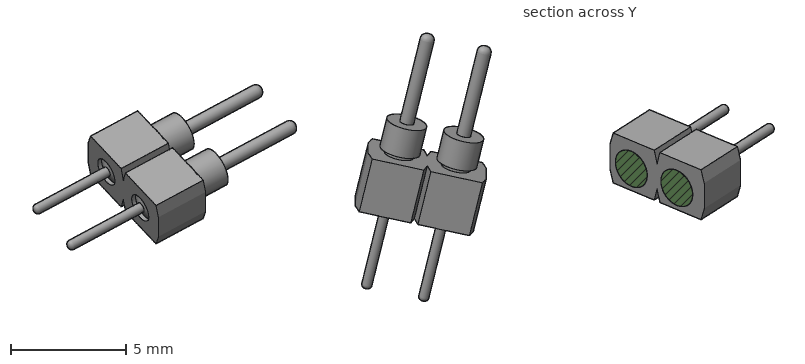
import cadquery as cq

pitch = 2.55
housing_width = 5.28
housing_height = 2.55
housing_length = 2.52
end_bevel_width = 0.18
end_bevel_height = 0.63
notch_half_width = 0.16
notch_depth = 0.63

front_pin_radius = 0.23
front_pin_length = 3.85
front_tip_rounding = 0.18
rear_pin_radius = 0.32
rear_pin_length = 4.2
rear_tip_rounding = 0.27
collar_radius = 0.9
collar_length = 1.33
neck_radius = 0.65
neck_length = 0.2

recess_radius = 0.64
recess_depth = 0.2
cone_height = 0.16

neck_end = housing_length + neck_length
collar_end = neck_end + collar_length
rear_tip = collar_end + rear_pin_length


def make_housing():
    """Extrude the bevelled outline, notched between the two cells."""
    half_width = housing_width / 2
    half_height = housing_height / 2
    upper_right = [
        (0, half_height - notch_depth),
        (notch_half_width, half_height),
        (half_width - end_bevel_width, half_height),
        (half_width, half_height - end_bevel_height),
    ]
    lower_right = [(x, -z) for x, z in reversed(upper_right)]
    right_side = upper_right + lower_right
    left_side = [(-x, z) for x, z in reversed(right_side[1:-1])]
    outline = cq.Workplane("XZ").polyline(right_side + left_side).close()
    return outline.extrude(-housing_length)


def cylinder(radius, start, end):
    """Make a cylinder along Y between two positions."""
    return cq.Workplane("XZ", origin=(0, start, 0)).circle(radius).extrude(start - end)


def make_recess():
    """Make the ring-shaped void between the recess wall and the cone."""
    cone_top = recess_depth - cone_height
    section = [
        (0, 0),
        (recess_radius, 0),
        (recess_radius, recess_depth),
        (front_pin_radius, cone_top),
        (0, cone_top),
    ]
    return cq.Workplane("XY").polyline(section).close().revolve(360, (0, 0), (0, 1))


def make_pin():
    """Join the front pin, neck, collar and rear pin of one contact."""
    front_pin = cylinder(front_pin_radius, -front_pin_length, housing_length)
    front_pin = front_pin.faces("<Y").edges().fillet(front_tip_rounding)
    rear_pin = cylinder(rear_pin_radius, neck_end, rear_tip)
    rear_pin = rear_pin.faces(">Y").edges().fillet(rear_tip_rounding)
    neck = cylinder(neck_radius, housing_length / 2, neck_end)
    collar = cylinder(collar_radius, neck_end, collar_end)
    return front_pin.union(neck).union(collar).union(rear_pin)


result = make_housing()
for pin_x in (-pitch / 2, pitch / 2):
    result = result.cut(make_recess().translate((pin_x, 0, 0)))
    result = result.union(make_pin().translate((pin_x, 0, 0)))